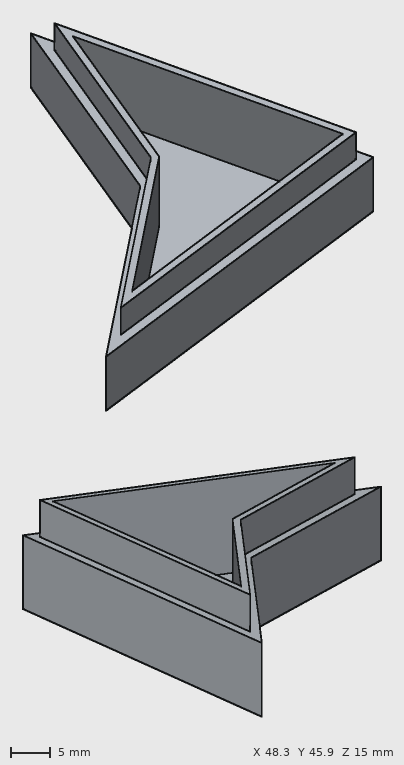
import cadquery as cq
import math

long_side = 48.28
corner_angle = 72
tip_angle = 36

base_height = 10.0
lip_height = 5.0
lip_inset = 1.3
lip_wall = 1.0
floor_thickness = 2.0

total_height = base_height + lip_height
pocket_inset = lip_inset + lip_wall
pocket_depth = total_height - floor_thickness


def polar(start, length, angle):
    """Point at a given length and angle (degrees from +X) from a start point."""
    radians = math.radians(angle)
    return (start[0] + length * math.cos(radians), start[1] + length * math.sin(radians))


half_tip_span = long_side * math.sin(math.radians(corner_angle / 2))
tip_base_angle = (180 - corner_angle) / 2 - tip_angle
short_side = half_tip_span / math.cos(math.radians(tip_base_angle))

corner = (long_side, 0)
left_tip = (0, 0)
lower_tip = polar(corner, long_side, 180 + corner_angle)
notch = polar(left_tip, short_side, -tip_angle)


def dart_prism(inset, bottom, height):
    """Upright prism of the dart outline, moved inward by the inset on every side."""
    outline = cq.Workplane("XY").workplane(offset=bottom)
    outline = outline.polyline([left_tip, notch, lower_tip, corner]).close()
    if inset > 0:
        outline = outline.offset2D(-inset, "intersection")
    return outline.extrude(height)


base = dart_prism(0, 0, base_height)
lip = dart_prism(lip_inset, base_height, lip_height)
pocket = dart_prism(pocket_inset, floor_thickness, pocket_depth)

result = base.union(lip).cut(pocket)